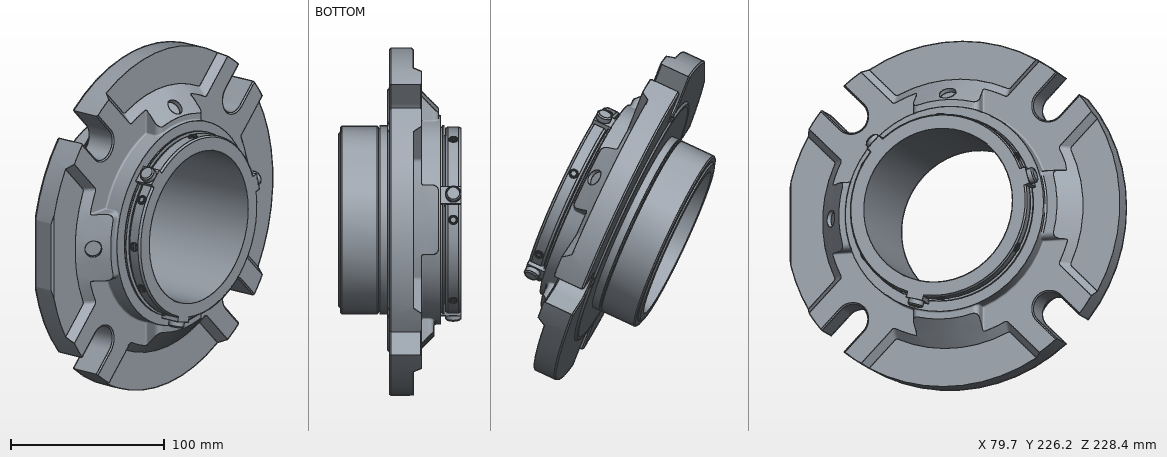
import cadquery as cq
import math


BORE_R = 50.8
NOSE_TIP_R = 57.0
NOSE_TIP_CHAMFER = 1.1
NOSE_STEP_X = 1.4
NOSE_R = 61.08
NOSE_CHAMFER = 1.0
NOSE_END_X = 26.0
RELIEF_R = 59.5
COLLAR_X = 27.0
COLLAR_R = 61.31

FACE_X = 31.7
FACE_RECESS_DEPTH = 0.2
FACE_RECESS_R = 82.55
FACE_R = 84.3
FACE_FOOT_R = 85.9
FLANGE_X = 33.0
FLANGE_R = 114.2
RIM_CHAMFER_LENGTH = 1.1
RIM_CHAMFER_DEPTH = 0.7
FLANGE_BACK_X = 48.6
FLAT_Y = -112.0
FLAT_CHAMFER = 1.4

QUARTER_TURNS = (0, 90, 180, 270)
LUG_ANGLES = (45, 135, 225, 315)
SLOT_WIDTH = 21.2
SLOT_BOTTOM_R = 84.5
SLOT_CHAMFER = 1.0
LUG_TOP_X = 54.1
LUG_BASE_HALF = 29.5
LUG_TOP_HALF = 25.1
LUG_INNER_R = 73.0
LUG_ROOT_FILLET = 2.7

CONE_BASE_R = 89.0
BODY_R = 67.8
BODY_FILLET = 1.1
BODY_END_X = 66.5
BOSS_HALF_WIDTH = 22.5
BOSS_END_X = 65.0
SHORT_BOSS_END_X = 62.0
BOSS_CORNER_R = 3.9
SHORT_BOSS_ANGLE = 0
PORT_R = 5.5
PORT_DEPTH = 3.0
FRONT_PORT_X = 57.0
TOP_PORT_X = 59.8

RING_SHOULDER_R = 60.3
RING_X = 67.5
RING_R = 61.31
RING_END_X = 68.7
NECK_R = 54.8
DRIVE_X = 69.6
DRIVE_R = 60.5
DRIVE_CHAMFER_LENGTH = 1.5
DRIVE_CHAMFER_DEPTH = 1.0
END_X = 79.7

SCREW_X = (DRIVE_X + END_X) / 2
CLIP_ANGLES = (15, 135, 255)
CLIP_WIDTH = 11.5
CLIP_TOP_R = 63.0
CLIP_HEAD_R = 5.0
CLIP_HEAD_TOP_R = 67.1
CLIP_HEAD_CHAMFER = 1.0
SET_SCREW_ANGLES = (30, 90, 150, 210, 270, 330)
SCREW_R = 2.5
SCREW_TOP_R = 61.2
SOCKET_WIDTH = 3.7
SOCKET_DEPTH = 1.0
SCREW_HOLE_R = 3.0
SCREW_HOLE_DEPTH = 0.7
PIN_ANGLE = 180
PIN_SLOT_WIDTH = 1.5

OVERCUT = 2.3


def turn(shape, angle):
    """Turn a shape built along +Y to its angle about the X axis."""
    return shape.rotate((0, 0, 0), (1, 0, 0), angle)


def spin(outline):
    """Revolve a closed (x, radius) outline about the X axis."""
    return outline.close().revolve(360, (0, 0, 0), (1, 0, 0))


def radial_cylinder(x, radius, inner_r, outer_r):
    """A cylinder along +Y between two distances from the X axis."""
    return cq.Workplane("XZ", origin=(x, inner_r, 0)).circle(radius).extrude(inner_r - outer_r)


def radial_box(x_start, x_end, width, inner_r, outer_r):
    """A box along +Y between two distances from the X axis, centred on Z."""
    box = cq.Workplane("XY").box(x_end - x_start, outer_r - inner_r, width, centered=(False, False, True))
    return box.translate((x_start, inner_r, 0))


def axis_distance(edge):
    """Distance of an edge's midpoint from the X axis."""
    middle = edge.positionAt(0.5)
    return math.hypot(middle.y, middle.z)


def cone_r(x):
    """Radius of the 45 degree gland cone at a given X."""
    return CONE_BASE_R - (x - FLANGE_BACK_X)


def turned_body():
    """Everything round, with the flange at lug height and the gland cone whole."""
    outline = (
        cq.Workplane("XY")
        .moveTo(0, BORE_R)
        .lineTo(0, NOSE_TIP_R - NOSE_TIP_CHAMFER)
        .lineTo(NOSE_TIP_CHAMFER, NOSE_TIP_R)
        .lineTo(NOSE_STEP_X, NOSE_TIP_R)
        .lineTo(NOSE_STEP_X, NOSE_R - NOSE_CHAMFER)
        .lineTo(NOSE_STEP_X + NOSE_CHAMFER, NOSE_R)
        .lineTo(NOSE_END_X - NOSE_CHAMFER, NOSE_R)
        .lineTo(NOSE_END_X, NOSE_R - NOSE_CHAMFER)
        .lineTo(NOSE_END_X, RELIEF_R)
        .lineTo(COLLAR_X, RELIEF_R)
        .lineTo(COLLAR_X, COLLAR_R)
        .lineTo(FACE_X + FACE_RECESS_DEPTH, COLLAR_R)
        .lineTo(FACE_X + FACE_RECESS_DEPTH, FACE_RECESS_R)
        .lineTo(FACE_X, FACE_RECESS_R)
        .lineTo(FACE_X, FACE_R)
        .lineTo(FLANGE_X, FACE_FOOT_R)
        .lineTo(FLANGE_X, FLANGE_R - RIM_CHAMFER_DEPTH)
        .lineTo(FLANGE_X + RIM_CHAMFER_LENGTH, FLANGE_R)
        .lineTo(LUG_TOP_X, FLANGE_R)
        .lineTo(LUG_TOP_X, cone_r(LUG_TOP_X))
        .lineTo(BODY_END_X, cone_r(BODY_END_X))
        .lineTo(BODY_END_X, RING_SHOULDER_R)
        .lineTo(RING_X, RING_SHOULDER_R)
        .lineTo(RING_X, RING_R)
        .lineTo(RING_END_X, RING_R)
        .lineTo(RING_END_X, NECK_R)
        .lineTo(DRIVE_X, NECK_R)
        .lineTo(DRIVE_X, DRIVE_R - DRIVE_CHAMFER_DEPTH)
        .lineTo(DRIVE_X + DRIVE_CHAMFER_LENGTH, DRIVE_R)
        .lineTo(END_X - DRIVE_CHAMFER_LENGTH, DRIVE_R)
        .lineTo(END_X, DRIVE_R - DRIVE_CHAMFER_DEPTH)
        .lineTo(END_X, BORE_R)
    )
    return spin(outline)


def rim_flat():
    """Waste beyond the flat on the -Y rim and its bevelled edges."""
    bevel_y = FLAT_Y + FLAT_CHAMFER
    outer_y = -FLANGE_R - OVERCUT
    return (
        cq.Workplane("XY", origin=(0, 0, -FLANGE_R / 2))
        .moveTo(FLANGE_X, outer_y)
        .lineTo(FLANGE_X, bevel_y)
        .lineTo(FLANGE_X + FLAT_CHAMFER, FLAT_Y)
        .lineTo(FLANGE_BACK_X - FLAT_CHAMFER, FLAT_Y)
        .lineTo(FLANGE_BACK_X, bevel_y)
        .lineTo(FLANGE_BACK_X, outer_y)
        .close()
        .extrude(FLANGE_R)
    )


def lug():
    """Bar with sloping sides that keeps the flange thick beside a slot."""
    slope = (LUG_BASE_HALF - LUG_TOP_HALF) / (LUG_TOP_X - FLANGE_BACK_X)
    end_x = LUG_TOP_X + OVERCUT
    end_half = LUG_TOP_HALF - slope * OVERCUT
    return (
        cq.Workplane("XZ", origin=(0, LUG_INNER_R, 0))
        .moveTo(FLANGE_BACK_X, -LUG_BASE_HALF)
        .lineTo(end_x, -end_half)
        .lineTo(end_x, end_half)
        .lineTo(FLANGE_BACK_X, LUG_BASE_HALF)
        .close()
        .extrude(LUG_INNER_R - FLANGE_R - OVERCUT)
    )


def flange_back_waste():
    """Ring outside the gland cone that thins the flange, less the four lugs."""
    waste_end_x = LUG_TOP_X + OVERCUT
    waste = spin(
        cq.Workplane("XY")
        .moveTo(FLANGE_BACK_X, CONE_BASE_R)
        .lineTo(FLANGE_BACK_X, FLANGE_R + OVERCUT)
        .lineTo(waste_end_x, FLANGE_R + OVERCUT)
        .lineTo(waste_end_x, cone_r(waste_end_x))
    )
    for angle in LUG_ANGLES:
        waste = waste.cut(turn(lug(), angle))
    roots = waste.edges("not (%LINE or %CIRCLE)").filter(lambda edge: axis_distance(edge) < CONE_BASE_R)
    return roots.fillet(LUG_ROOT_FILLET)


def slot_outline(x, margin):
    """Round-ended slot outline across X, grown by a margin."""
    half_width = SLOT_WIDTH / 2 + margin
    bottom_r = SLOT_BOTTOM_R - margin
    open_r = FLANGE_R + 2 * OVERCUT
    return (
        cq.Workplane("YZ", origin=(x, 0, 0))
        .moveTo(open_r, -half_width)
        .lineTo(bottom_r + half_width, -half_width)
        .threePointArc((bottom_r, 0), (bottom_r + half_width, half_width))
        .lineTo(open_r, half_width)
        .close()
    )


def slot():
    """Open round-ended slot with bevelled mouths on both faces."""
    start_x = FACE_X - OVERCUT
    cutter = slot_outline(start_x, 0).extrude(LUG_TOP_X + OVERCUT - start_x)
    front_mouth = slot_outline(FLANGE_X, SLOT_CHAMFER).extrude(SLOT_CHAMFER, taper=45)
    back_mouth = slot_outline(LUG_TOP_X, SLOT_CHAMFER).extrude(-SLOT_CHAMFER, taper=45)
    return cutter.union(front_mouth).union(back_mouth)


def boss(end_x):
    """Strip with rounded far corners that keeps the gland cone as a port boss."""
    strip = radial_box(FLANGE_BACK_X, end_x, 2 * BOSS_HALF_WIDTH, NECK_R, CONE_BASE_R)
    return strip.faces(">X").edges("|Y").fillet(BOSS_CORNER_R)


def gland_waste():
    """Ring that turns the gland down to its cylinder, less the four bosses."""
    waste_end_x = BODY_END_X + OVERCUT
    waste = spin(
        cq.Workplane("XY")
        .moveTo(LUG_TOP_X, CONE_BASE_R)
        .lineTo(LUG_TOP_X, BODY_R)
        .lineTo(waste_end_x, BODY_R)
        .lineTo(waste_end_x, CONE_BASE_R)
    )
    for angle in QUARTER_TURNS:
        boss_end_x = SHORT_BOSS_END_X if angle == SHORT_BOSS_ANGLE else BOSS_END_X
        waste = waste.cut(turn(boss(boss_end_x), angle))

    def is_root(edge):
        box = edge.BoundingBox()
        on_lug_plane = box.xmax < LUG_TOP_X + tolerance
        on_cylinder = axis_distance(edge) < BODY_R + tolerance and box.xmax < BODY_END_X
        return on_lug_plane or on_cylinder

    tolerance = 0.002
    return waste.edges().filter(is_root).fillet(BODY_FILLET)


def port(x):
    """Shallow round port, square to the gland cone."""
    mouth = cq.Plane(origin=(x, cone_r(x), 0), xDir=(0, 0, 1), normal=(1, 1, 0))
    return cq.Workplane(mouth).workplane(offset=-PORT_DEPTH).circle(PORT_R).extrude(PORT_DEPTH + OVERCUT)


def clip():
    """Setting clip with its screw head."""
    bar = radial_box(BODY_END_X, END_X, CLIP_WIDTH, NECK_R, CLIP_TOP_R)
    head = radial_cylinder(SCREW_X, CLIP_HEAD_R, CLIP_TOP_R, CLIP_HEAD_TOP_R)
    return bar.union(head.faces(">Y").chamfer(CLIP_HEAD_CHAMFER))


def screw_groove():
    """Ring groove between a small screw and the edge of its hole."""
    floor_r = DRIVE_R - SCREW_HOLE_DEPTH
    outer_r = DRIVE_R + OVERCUT
    hole = radial_cylinder(SCREW_X, SCREW_HOLE_R, floor_r, outer_r)
    return hole.cut(radial_cylinder(SCREW_X, SCREW_R, floor_r, outer_r))


def set_screw():
    """Screw end standing slightly proud, with a hexagon socket."""
    screw = radial_cylinder(SCREW_X, SCREW_R, NECK_R, SCREW_TOP_R)
    socket = (
        cq.Workplane("XZ", origin=(SCREW_X, SCREW_TOP_R, 0))
        .polygon(6, SOCKET_WIDTH, circumscribed=True)
        .extrude(SOCKET_DEPTH)
    )
    return screw, socket


def pin_slot():
    """Screwdriver slot across the end of the slotted pin."""
    half_slot = PIN_SLOT_WIDTH / 2
    return radial_box(
        SCREW_X - half_slot, SCREW_X + half_slot, 2 * SCREW_R, DRIVE_R - SCREW_HOLE_DEPTH, DRIVE_R + OVERCUT
    )


result = turned_body()
result = result.cut(flange_back_waste())
result = result.cut(gland_waste())
result = result.cut(rim_flat())

for angle in LUG_ANGLES:
    result = result.cut(turn(slot(), angle))

result = result.cut(turn(port(FRONT_PORT_X), 180))
result = result.cut(turn(port(TOP_PORT_X), 90))

for angle in CLIP_ANGLES:
    result = result.union(turn(clip(), angle))

for angle in SET_SCREW_ANGLES:
    screw, socket = set_screw()
    result = result.cut(turn(screw_groove(), angle))
    result = result.union(turn(screw, angle))
    result = result.cut(turn(socket, angle))

result = result.cut(turn(screw_groove(), PIN_ANGLE))
result = result.cut(turn(pin_slot(), PIN_ANGLE))